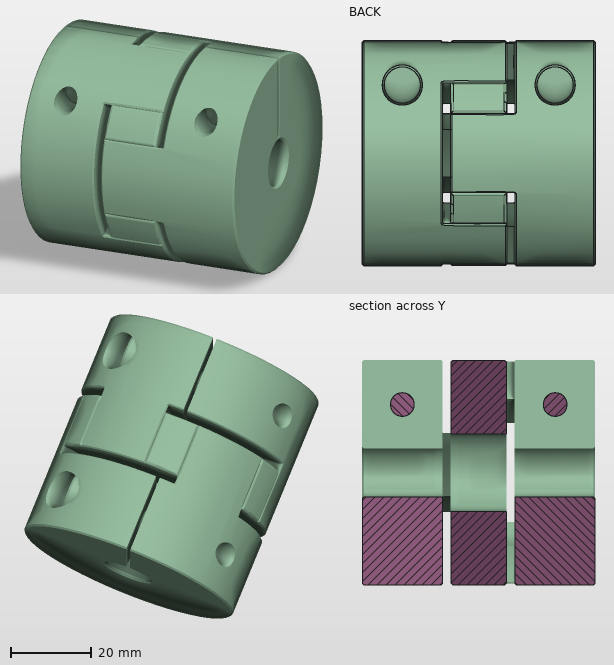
import cadquery as cq
import math


length = 58.0
outer_radius = 28.0

hub_gap = 18.0
hub_length = (length - hub_gap) / 2
bore_radius = 6.0
bore_chamfer = 0.5
slot_width = 1.0
end_chamfer = 0.45
jaw_chamfer = 0.35
root_fillet = 0.3

jaw_count = 3
lobe_count = 2 * jaw_count
lobe_pitch = 360.0 / lobe_count
spider_width = 14.0
jaw_length = (hub_gap + spider_width) / 2
ring_outer_radius = 18.6
ring_inner_radius = 9.6
lobe_root_half_width = 3.7
lobe_rim_half_width = 4.4
flank_bulge = 0.4
lobe_fillet = 0.7

screw_x = (hub_gap + hub_length) / 2
screw_z = 16.95
screw_radius = 3.0
screw_tip_y = -16.0
tip_chamfer = 0.45
head_radius = 5.0
head_length = 6.0
head_end_y = 20.0
head_seat_y = head_end_y - head_length
head_chamfer = 0.5

TOLERANCE = 1e-3


def polar(radius, angle):
    """Point in the YZ plane, with the angle in degrees from +Y toward +Z."""
    return (radius * math.cos(math.radians(angle)), radius * math.sin(math.radians(angle)))


def half_angle(half_width, radius):
    """Angle in degrees that a half width takes up at a radius."""
    return math.degrees(math.asin(half_width / radius))


lobe_root_angle = half_angle(lobe_root_half_width, ring_outer_radius)
lobe_rim_angle = half_angle(lobe_rim_half_width, outer_radius)


def flank_middle(lobe_angle, side):
    """Middle of the curved flank on one side (+1 or -1) of the lobe at the given angle."""
    y_root, z_root = polar(ring_outer_radius, lobe_angle + side * lobe_root_angle)
    y_rim, z_rim = polar(outer_radius, lobe_angle + side * lobe_rim_angle)
    chord = math.hypot(y_rim - y_root, z_rim - z_root)
    shift = side * flank_bulge / chord
    y_mid = (y_root + y_rim) / 2 - shift * (z_rim - z_root)
    z_mid = (z_root + z_rim) / 2 + shift * (y_rim - y_root)
    return (y_mid, z_mid)


def sector(x_start, x_length, angle, low_lobe, high_lobe):
    """Ring sector from the low flank of one lobe to the high flank of the same or another lobe."""
    low_root = polar(ring_outer_radius, low_lobe - lobe_root_angle)
    low_rim = polar(outer_radius, low_lobe - lobe_rim_angle)
    high_root = polar(ring_outer_radius, high_lobe + lobe_root_angle)
    high_rim = polar(outer_radius, high_lobe + lobe_rim_angle)
    return (
        cq.Workplane("YZ", origin=(x_start, 0, 0))
        .moveTo(*low_root)
        .threePointArc(flank_middle(low_lobe, -1), low_rim)
        .threePointArc(polar(outer_radius, angle), high_rim)
        .threePointArc(flank_middle(high_lobe, 1), high_root)
        .threePointArc(polar(ring_outer_radius, angle), low_root)
        .close()
        .extrude(x_length)
    )


def jaw_space(x_start, x_length, angle):
    """Space between two neighbouring jaws of a hub: two lobes and the other hub's jaw."""
    half_span = lobe_pitch / 2
    return sector(x_start, x_length, angle, angle - half_span, angle + half_span)


def lobe(angle):
    """Spider lobe with bulging flanks."""
    return sector(-spider_width / 2, spider_width, angle, angle, angle)


def cylinder_y(radius, y_start, y_end, x):
    """Cylinder along Y at screw height."""
    return (
        cq.Workplane("XZ", origin=(x, y_start, screw_z))
        .circle(radius)
        .extrude(y_start - y_end)
    )


def axis_distance(point):
    """Distance of a point from the X axis."""
    return math.hypot(point.y, point.z)


def is_rim_edge(edge):
    """True for an edge that lies on the outer cylinder."""
    points = (edge.startPoint(), edge.positionAt(0.5), edge.endPoint())
    return all(abs(axis_distance(point) - outer_radius) < TOLERANCE for point in points)


def is_at_x(edge, x):
    """True for an edge that lies in the plane at the given X."""
    return all(abs(point.x - x) < TOLERANCE for point in (edge.startPoint(), edge.endPoint()))


def is_jaw_root(edge, face_x):
    """True for the edge where a jaw flank meets the inner face of the hub."""
    radial_run = abs(axis_distance(edge.startPoint()) - axis_distance(edge.endPoint()))
    return is_at_x(edge, face_x) and abs(radial_run - (outer_radius - ring_outer_radius)) < TOLERANCE


def hub_blank(side, first_jaw_angle):
    """Cylinder with three jaws; side is -1 at the -X end and +1 at the +X end."""
    face_x = side * hub_gap / 2
    blank = (
        cq.Workplane("YZ", origin=(side * length / 2, 0, 0))
        .circle(outer_radius)
        .extrude(-side * (hub_length + jaw_length))
    )
    core = cq.Workplane("YZ", origin=(face_x, 0, 0)).circle(ring_outer_radius).extrude(-side * jaw_length)
    blank = blank.cut(core)
    for index in range(jaw_count):
        angle = first_jaw_angle + lobe_pitch + index * 2 * lobe_pitch
        blank = blank.cut(jaw_space(face_x, -side * jaw_length, angle))
    solid = blank.solids().val()
    roots = [edge for edge in solid.Edges() if is_jaw_root(edge, face_x)]
    solid = solid.fillet(root_fillet, roots)
    rims = [edge for edge in solid.Edges() if is_rim_edge(edge)]
    end_rims = [edge for edge in rims if is_at_x(edge, side * length / 2)]
    jaw_rims = [edge for edge in rims if abs(edge.positionAt(0.5).x) < hub_gap / 2 + TOLERANCE]
    solid = solid.chamfer(jaw_chamfer, None, jaw_rims)
    return cq.Workplane(solid.chamfer(end_chamfer, None, end_rims))


def make_hub(side, first_jaw_angle):
    """Clamp hub: jaws on the inner face, bore, clamp slot and screw hole."""
    face_x = side * hub_gap / 2
    bore = cq.Workplane("YZ", origin=(face_x, 0, 0)).circle(bore_radius).extrude(side * hub_length)
    slot = cq.Workplane("XY").box(
        hub_length, slot_width, outer_radius, centered=(True, True, False)
    ).translate((side * screw_x, 0, 0))
    screw_hole = cylinder_y(screw_radius, outer_radius, -outer_radius, side * screw_x)
    head_recess = cylinder_y(head_radius, outer_radius, head_seat_y, side * screw_x)
    hub = hub_blank(side, first_jaw_angle).cut(bore)
    end_selector = ">X" if side > 0 else "<X"
    hub = hub.faces(end_selector).edges(cq.selectors.RadiusNthSelector(0)).chamfer(bore_chamfer)
    return hub.cut(slot).cut(screw_hole).cut(head_recess)


def make_spider():
    """Flat ring with six lobes, their outer edges rounded."""
    spider = (
        cq.Workplane("YZ", origin=(-spider_width / 2, 0, 0))
        .circle(ring_outer_radius)
        .circle(ring_inner_radius)
        .extrude(spider_width)
    )
    for index in range(lobe_count):
        spider = spider.union(lobe((index + 0.5) * lobe_pitch))
    solid = spider.val()
    rims = [edge for edge in solid.Edges() if is_rim_edge(edge)]
    return cq.Workplane(solid.fillet(lobe_fillet, rims))


def make_screw(side):
    """Cap screw along Y with its head on the +Y side."""
    head = cylinder_y(head_radius, head_end_y, head_seat_y, side * screw_x)
    head = head.faces(">Y").edges().chamfer(head_chamfer)
    shank = cylinder_y(screw_radius, head_seat_y, screw_tip_y, side * screw_x)
    shank = shank.faces("<Y").edges().chamfer(tip_chamfer)
    return head.union(shank)


left_hub = make_hub(-1, 0.0)
right_hub = make_hub(1, lobe_pitch)
spider = make_spider()
screws = [make_screw(side) for side in (-1, 1)]

result = cq.Compound.makeCompound(
    [left_hub.val(), right_hub.val(), spider.val(), *[screw.val() for screw in screws]]
)